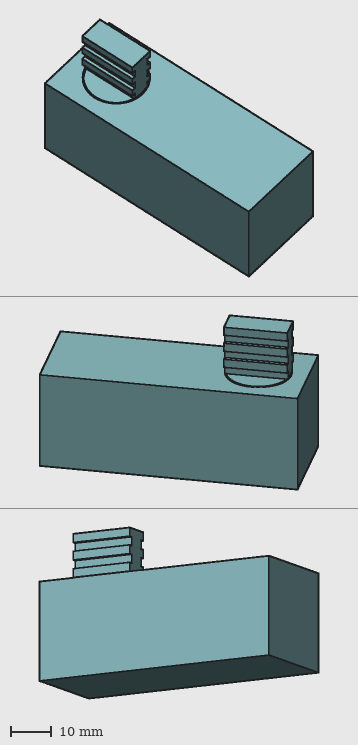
import cadquery as cq

block_length = 65.0
block_side = 25.0
overall_height = 38.2

knob_x = 12.5
knob_y = block_side / 2
knob_diameter = 16.0
groove_width = 0.3
groove_depth = 0.3

grip_length = knob_diameter
grip_width = 6.9
neck_width = 4.8
layer_count = 6
layer_height = (overall_height - block_side) / layer_count


def make_block():
    return cq.Workplane("XY").box(block_length, block_side, block_side, centered=False)


def make_ring_groove():
    """Groove with an upright inner wall and an outer wall that slopes in to a sharp bottom."""
    inner_radius = knob_diameter / 2
    profile = [
        (inner_radius, block_side),
        (inner_radius + groove_width, block_side),
        (inner_radius, block_side - groove_depth),
    ]
    ring = cq.Workplane("XZ").polyline(profile).close().revolve(360, (0, 0), (0, 1))
    return ring.translate((knob_x, knob_y, 0))


def make_grip_layer(index):
    """Layers count upward from the block; even ones are narrow, odd ones wide."""
    width = neck_width if index % 2 == 0 else grip_width
    bottom = block_side + index * layer_height
    return (
        cq.Workplane("XY", origin=(knob_x, knob_y, bottom))
        .rect(grip_length, width)
        .extrude(layer_height)
    )


result = make_block().cut(make_ring_groove())
for layer in range(layer_count):
    result = result.union(make_grip_layer(layer))